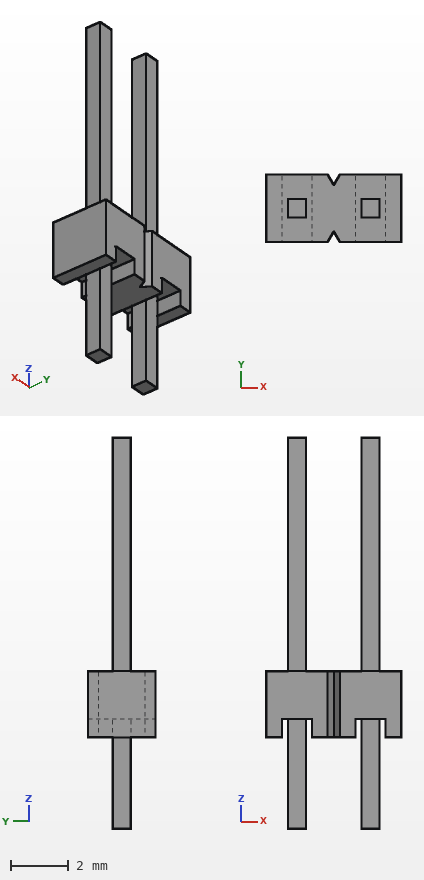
import cadquery as cq

pin_count = 2
pitch = 2.54
pin_size = 0.63
pin_above = 8.08
pin_below = 3.17
total_height = 13.54

body_length = 4.67
body_width = 2.34
body_height = total_height - pin_above - pin_below

notch_width = 0.42
notch_depth = 0.36
slot_width = 1.03
slot_depth = 0.63

first_pin_x = -pitch * (pin_count - 1) / 2
pin_positions = [first_pin_x + i * pitch for i in range(pin_count)]
notch_positions = [x + pitch / 2 for x in pin_positions[:-1]]


def block(length, width, bottom, height, x=0):
    """Box centred on x and on Y = 0, rising from the given bottom level."""
    return (
        cq.Workplane("XY")
        .box(length, width, height, centered=(True, True, False))
        .translate((x, 0, bottom))
    )


def notch(x, side):
    """Full-height V-notch in the body face on the given Y side (-1 or +1)."""
    face_y = side * body_width / 2
    half_width = notch_width / 2
    return (
        cq.Workplane("XY", origin=(0, 0, -body_height))
        .moveTo(x - half_width, face_y)
        .lineTo(x + half_width, face_y)
        .lineTo(x, face_y - side * notch_depth)
        .close()
        .extrude(body_height)
    )


result = block(body_length, body_width, -body_height, body_height)
for x in notch_positions:
    for side in (-1, 1):
        result = result.cut(notch(x, side))

for x in pin_positions:
    result = result.cut(block(slot_width, body_width, -body_height, slot_depth, x))

pin_bottom = -body_height - pin_below
for x in pin_positions:
    result = result.union(block(pin_size, pin_size, pin_bottom, total_height, x))